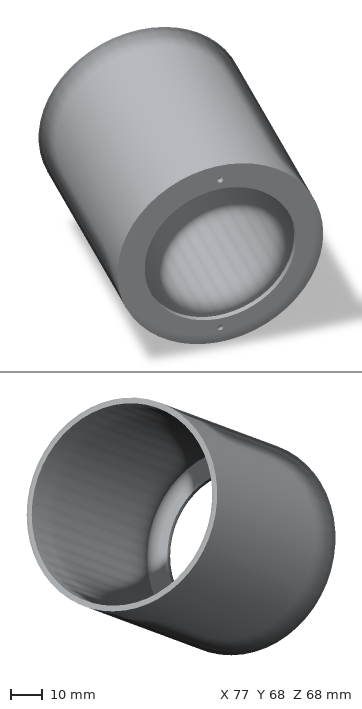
import cadquery as cq

length = 77.0
outer_diameter = 68.0
bore_diameter = 64.4
opening_diameter = 50.0
wall = (outer_diameter - bore_diameter) / 2
flange_thickness = wall

hole_diameter = 2.0
hole_circle_radius = 28.4


def cylinder_along_x(diameter, start, span):
    """Solid cylinder about the X axis, from x = start over the given span."""
    return cq.Workplane("YZ", origin=(start, 0, 0)).circle(diameter / 2).extrude(span)


tube = cylinder_along_x(outer_diameter, 0, length)
bore = cylinder_along_x(bore_diameter, 0, length - flange_thickness)
opening = cylinder_along_x(opening_diameter, 0, length)

screw_holes = (
    cq.Workplane("YZ")
    .pushPoints([(0, hole_circle_radius), (0, -hole_circle_radius)])
    .circle(hole_diameter / 2)
    .extrude(length)
)

result = tube.cut(bore).cut(opening).cut(screw_holes)